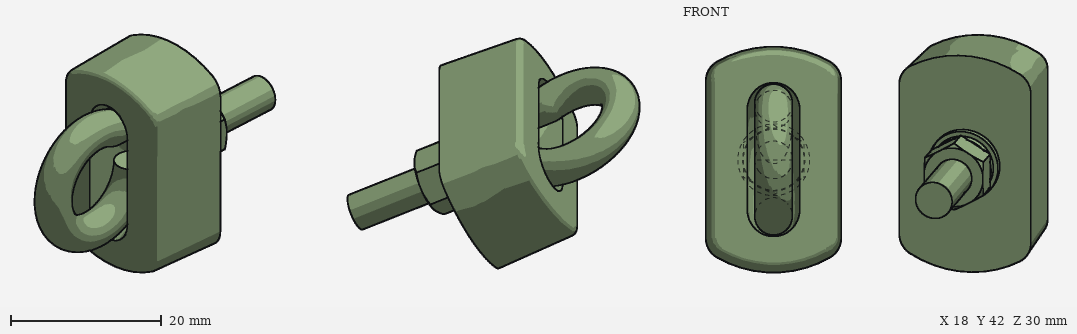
import cadquery as cq
import math

housing_width = 18.0
housing_height = 30.0
housing_depth = 12.0
crown_radius = housing_height / 2
corner_radius = 3.0
draft_angle = 2.3
front_fillet = 1.0

rod_diameter = 5.0
ring_mean_radius = 7.5
ring_projection = 12.95
rod_tail_length = 17.0
arm_leave_angle = 26.5
arm_bend_offset = 7.0
rod_start_offset = 13.6

pocket_width = 7.0
pocket_radius = 10.6

washer_diameter = 9.52
washer_thickness = 1.0
spring_washer_diameter = 8.25
spring_washer_thickness = 1.2
nut_across_flats = 8.0
nut_thickness = 4.03
nut_chamfer_drop = 0.35
nut_chamfer_angle = 30

rod_radius = rod_diameter / 2
ring_center_y = -housing_depth - ring_projection + ring_mean_radius + rod_radius
spring_washer_y = washer_thickness
nut_y = spring_washer_y + spring_washer_thickness


def rear_plane(y):
    """Sketch plane at position y along the bolt axis, extruding rearward (+Y)."""
    return cq.Workplane(cq.Plane(origin=(0, y, 0), xDir=(-1, 0, 0), normal=(0, 1, 0)))


def make_rod(start, end):
    """Round rod between two points (y, z) of the YZ plane, with a ball joint at its start."""
    start_point = cq.Vector(0, *start)
    direction = cq.Vector(0, *end) - start_point
    rod = cq.Workplane(cq.Plane(start_point, xDir=(1, 0, 0), normal=direction))
    return rod.circle(rod_radius).extrude(direction.Length).union(rod.sphere(rod_radius))


def make_eye_bolt():
    """Open ring whose upper arm leads level, then slanting, back onto the axis and the straight rod."""
    leave_angle = math.radians(arm_leave_angle)
    arm_height = ring_mean_radius * math.cos(leave_angle)
    arm_points = [
        (ring_center_y + ring_mean_radius * math.sin(leave_angle), arm_height),
        (ring_center_y + arm_bend_offset, arm_height),
        (ring_center_y + rod_start_offset, 0),
        (rod_tail_length, 0),
    ]
    bolt = (
        cq.Workplane("XY", origin=(0, ring_center_y, 0))
        .center(0, ring_mean_radius)
        .circle(rod_radius)
        .revolve(270 + arm_leave_angle, (0, -ring_mean_radius, 0), (-1, -ring_mean_radius, 0))
    )
    for start, end in zip(arm_points, arm_points[1:]):
        bolt = bolt.union(make_rod(start, end))
    return bolt


def make_pocket():
    """Round-bottomed pocket, a stadium-edged disc about the ring axis (parallel to X)."""
    half_width = pocket_width / 2
    return (
        cq.Workplane("XY", origin=(0, ring_center_y, 0))
        .moveTo(-half_width, 0)
        .lineTo(-half_width, pocket_radius - half_width)
        .threePointArc((0, pocket_radius), (half_width, pocket_radius - half_width))
        .lineTo(half_width, 0)
        .close()
        .revolve(360, (0, 0, 0), (1, 0, 0))
    )


def housing_outline(inset):
    """Outline of the housing, moved inward by inset, as two crowned ends with rounded corners."""
    half_width = housing_width / 2 - inset
    crown = crown_radius - inset
    corner_arc = corner_radius - inset
    corner_center_x = half_width - corner_arc
    corner_center_z = math.sqrt((crown - corner_arc)**2 - corner_center_x**2)
    tangent_angle = math.atan2(corner_center_z, corner_center_x)
    tangent_x = crown * math.cos(tangent_angle)
    tangent_z = crown * math.sin(tangent_angle)
    corner_middle_x = corner_center_x + corner_arc * math.cos(tangent_angle / 2)
    corner_middle_z = corner_center_z + corner_arc * math.sin(tangent_angle / 2)
    return (
        cq.Sketch()
        .segment((half_width, -corner_center_z), (half_width, corner_center_z))
        .arc((half_width, corner_center_z), (corner_middle_x, corner_middle_z), (tangent_x, tangent_z))
        .arc((tangent_x, tangent_z), (0, crown), (-tangent_x, tangent_z))
        .arc((-tangent_x, tangent_z), (-corner_middle_x, corner_middle_z), (-half_width, corner_center_z))
        .segment((-half_width, corner_center_z), (-half_width, -corner_center_z))
        .arc((-half_width, -corner_center_z), (-corner_middle_x, -corner_middle_z), (-tangent_x, -tangent_z))
        .arc((-tangent_x, -tangent_z), (0, -crown), (tangent_x, -tangent_z))
        .arc((tangent_x, -tangent_z), (corner_middle_x, -corner_middle_z), (half_width, -corner_center_z))
        .assemble()
    )


def make_housing(eye_bolt):
    """Drafted block with crowned ends, fitted around the eye bolt."""
    front_inset = housing_depth * math.tan(math.radians(draft_angle))
    rear_outline = housing_outline(0)
    front_outline = housing_outline(front_inset).moved(cq.Location(cq.Vector(0, 0, housing_depth)))
    block = cq.Workplane("XZ").placeSketch(rear_outline, front_outline).loft(ruled=True)
    block = block.faces("<Y").edges().fillet(front_fillet)
    return block.cut(make_pocket()).cut(eye_bolt)


def make_ring_washer(diameter, thickness, y):
    """Flat ring around the rod, starting at y."""
    return rear_plane(y).circle(diameter / 2).circle(rod_radius).extrude(thickness)


def make_nut():
    """Hexagon nut, corners up and down, with its rear corners chamfered."""
    corner_distance = nut_across_flats / math.sqrt(3)
    corner_angles = [i * math.pi / 3 for i in range(6)]
    corners = [(corner_distance * math.sin(a), corner_distance * math.cos(a)) for a in corner_angles]
    chamfer_run = nut_chamfer_drop / math.tan(math.radians(nut_chamfer_angle))
    envelope = (
        rear_plane(nut_y).circle(corner_distance).extrude(nut_thickness)
        .faces(">Y").chamfer(nut_chamfer_drop, chamfer_run)
    )
    hexagon = rear_plane(nut_y).polyline(corners).close().extrude(nut_thickness)
    bore = rear_plane(nut_y).circle(rod_radius).extrude(nut_thickness)
    return hexagon.intersect(envelope).cut(bore)


eye_bolt = make_eye_bolt()
housing = make_housing(eye_bolt)
washer = make_ring_washer(washer_diameter, washer_thickness, 0)
spring_washer = make_ring_washer(spring_washer_diameter, spring_washer_thickness, spring_washer_y)
nut = make_nut()

result = cq.Compound.makeCompound(
    [housing.val(), eye_bolt.val(), washer.val(), spring_washer.val(), nut.val()]
)